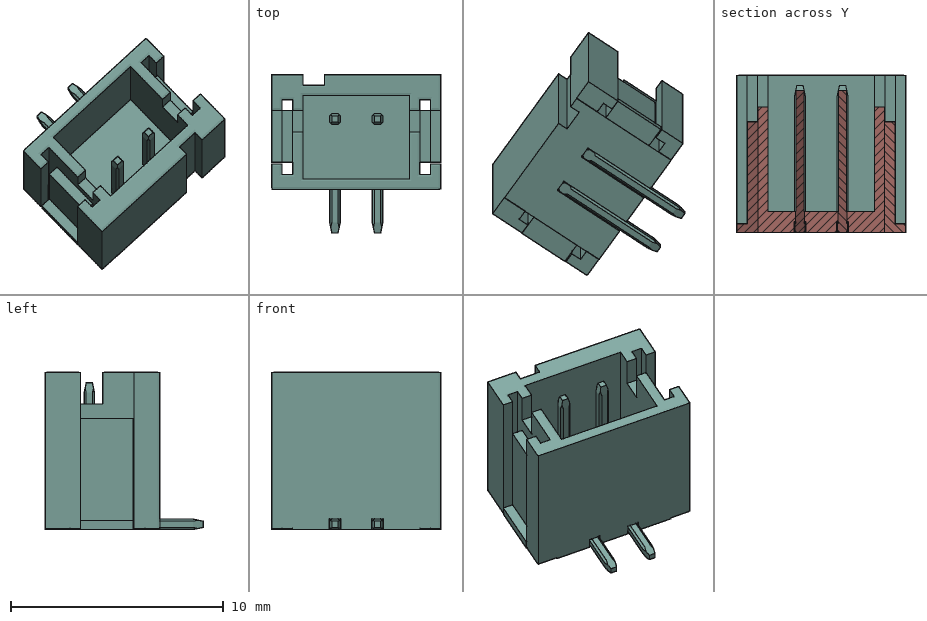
import cadquery as cq

WIDTH = 7.95
DEPTH = 5.4
HEIGHT = 7.4

FRONT_WALL = 0.5
CAVITY_WIDTH = 4.99
CAVITY_LENGTH = 3.91
FLOOR = 1.0

WALL = 0.49
FLANGE = 0.485
MOUTH_FRONT = 1.21
MOUTH_REAR = 3.72
SLOT_FRONT = 0.71
SLOT_REAR = 4.21
WALL_OUTER_X = CAVITY_WIDTH / 2 + WALL
SIDE_LIFT = 0.06

NOTCH_FRONT = 2.695
NOTCH_BOTTOM = 5.915
KEY_X = -1.995
KEY_WIDTH = 1.0
KEY_DEPTH = 0.485

BEVEL_WIDTH = 0.1
BEVEL_DEPTH = 0.02

PIN_PITCH = 2.0
PIN_SIZE = 0.5
PIN_BEVEL = 0.1
PIN_TIP_LENGTH = 0.485
PIN_Y = 3.315
PIN_TOP = 6.92
PIN_REACH = 2.05
PIN_Z = PIN_SIZE / 2
PIN_XS = (-PIN_PITCH / 2, PIN_PITCH / 2)
CHANNEL_WIDTH = 0.55
CHANNEL_HEIGHT = 0.51

TAB_LENGTH = 2.45
TAB_HEIGHT = 5.22
TAB_FOOT = 0.42
TAB_FRONT = MOUTH_REAR - TAB_LENGTH


def block(x_range, y_range, z_range):
    """Box spanning the given ranges, each written (low, high)."""
    sizes = [high - low for low, high in (x_range, y_range, z_range)]
    corner = (x_range[0], y_range[0], z_range[0])
    return cq.Workplane("XY").box(*sizes, centered=False).translate(corner)


def both_sides(shape):
    """The shape together with its mirror image across X = 0."""
    return shape.union(shape.mirror("YZ"))


def octagonal_rod(length):
    """Square rod along +Z from the origin with its four long corners bevelled."""
    rod = cq.Workplane("XY").rect(PIN_SIZE, PIN_SIZE).extrude(length)
    return rod.edges("|Z").chamfer(PIN_BEVEL)


def pin_arm(length):
    """Octagonal rod whose far end tapers to a small square tip."""
    shank_length = length - PIN_TIP_LENGTH
    tip_size = PIN_SIZE - 2 * PIN_BEVEL
    shank = cq.Workplane("XY").rect(PIN_SIZE, PIN_SIZE).extrude(shank_length)
    tip = (
        cq.Workplane("XY", origin=(0, 0, shank_length))
        .rect(PIN_SIZE, PIN_SIZE)
        .workplane(offset=PIN_TIP_LENGTH)
        .rect(tip_size, tip_size)
        .loft(ruled=True)
    )
    return octagonal_rod(length).intersect(shank.union(tip))


def make_pin(x):
    """Right-angle pin: an upright contact and a leg that leaves through the front."""
    leg_start = PIN_Y + PIN_SIZE / 2
    upright = pin_arm(PIN_TOP).translate((x, PIN_Y, 0))
    leg = pin_arm(leg_start + PIN_REACH).rotate((0, 0, 0), (1, 0, 0), 90)
    return upright.union(leg.translate((x, leg_start, PIN_Z)))


def make_tab(side):
    """L-shaped solder tab on one side: an upright against the wall and an outward foot."""
    y_range = (TAB_FRONT, MOUTH_REAR)
    upright = block((WALL_OUTER_X, WIDTH / 2 - FLANGE), y_range, (0, TAB_HEIGHT))
    foot = block((WALL_OUTER_X, WIDTH / 2), y_range, (0, TAB_FOOT))
    tab = upright.union(foot)
    return tab if side > 0 else tab.mirror("YZ")


def bevel_strip(points):
    """Triangular prism over the full height, used to shave a vertical corner."""
    return cq.Workplane("XY").polyline(points).close().extrude(HEIGHT)


def make_housing():
    """Open-topped shell with a floor, side slots for the tabs and passages for the pins."""
    half = WIDTH / 2
    rim_bottom = HEIGHT - BEVEL_DEPTH
    core_height = (0, rim_bottom)
    body = block((-half, half), (0, DEPTH), core_height)

    body = body.cut(bevel_strip([(-half, 0), (-half + BEVEL_DEPTH, 0), (-half, BEVEL_WIDTH)]))
    body = body.cut(bevel_strip([(half, 0), (half - BEVEL_WIDTH, 0), (half, BEVEL_DEPTH)]))

    cavity_x = CAVITY_WIDTH / 2
    cavity_y = (FRONT_WALL, FRONT_WALL + CAVITY_LENGTH)
    body = body.cut(block((-cavity_x, cavity_x), cavity_y, (FLOOR, HEIGHT)))

    slot = block((WALL_OUTER_X, half - FLANGE), (SLOT_FRONT, SLOT_REAR), core_height)
    mouth = block((WALL_OUTER_X, half), (MOUTH_FRONT, MOUTH_REAR), core_height)
    body = body.cut(both_sides(slot.union(mouth)))

    lift = block((WALL_OUTER_X, half), (0, DEPTH), (0, SIDE_LIFT))
    body = body.cut(both_sides(lift))

    notch = block((cavity_x, WALL_OUTER_X), (NOTCH_FRONT, MOUTH_REAR), (NOTCH_BOTTOM, HEIGHT))
    body = body.cut(both_sides(notch))

    key_x = (KEY_X - KEY_WIDTH / 2, KEY_X + KEY_WIDTH / 2)
    body = body.cut(block(key_x, (DEPTH - KEY_DEPTH, DEPTH), core_height))

    for rim in body.faces(">Z").wires().vals():
        inset = rim.offset2D(-BEVEL_WIDTH, "intersection")[0].translate(cq.Vector(0, 0, BEVEL_DEPTH))
        cap = cq.Solid.makeLoft([rim, inset], True)
        body = body.union(cq.Workplane(cap))

    for x in PIN_XS:
        channel_x = (x - CHANNEL_WIDTH / 2, x + CHANNEL_WIDTH / 2)
        body = body.cut(block(channel_x, (0, PIN_Y + PIN_SIZE / 2), (0, CHANNEL_HEIGHT)))
        body = body.cut(octagonal_rod(FLOOR).translate((x, PIN_Y, 0)))
    return body


housing = make_housing()
pins = [make_pin(x) for x in PIN_XS]
tabs = [make_tab(side) for side in (-1, 1)]

result = cq.Compound.makeCompound(
    [housing.val(), *[pin.val() for pin in pins], *[tab.val() for tab in tabs]]
)